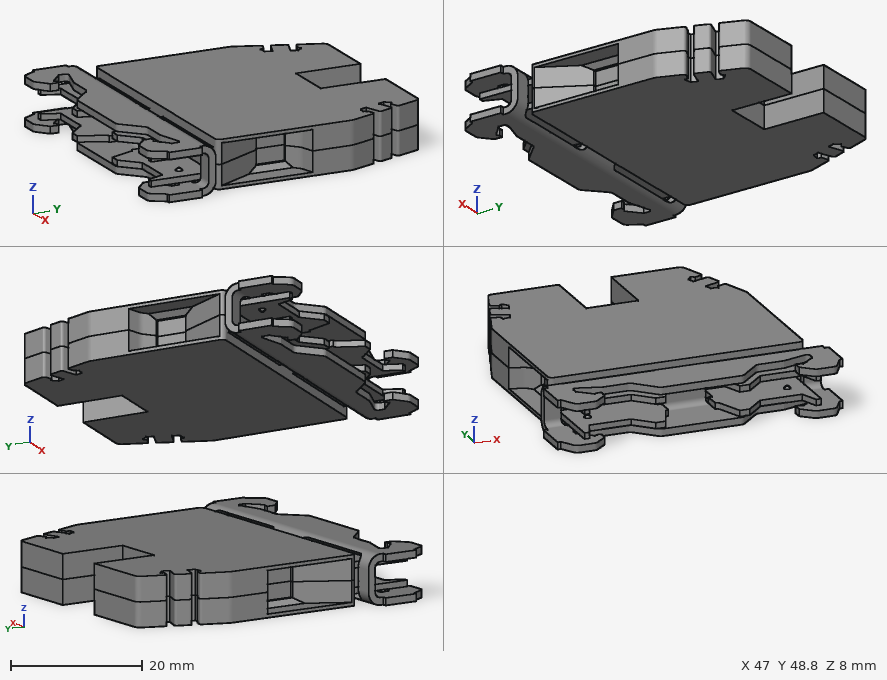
import cadquery as cq
import math

TOTAL_THICKNESS = 8.0
HALF_THICKNESS = TOTAL_THICKNESS / 2

HOUSING_HALF_WIDTH = 21.0
HOUSING_TOP_Y = 37.0
HOUSING_BOTTOM_Y = 0.1
BOTTOM_CORNER_RADIUS = 0.75
SHOULDER_Y = 23.2
SHOULDER_TILT = 20.0
SHOULDER_RADIUS = 2.0
TOP_CORNER_RADIUS = 1.0
TOP_NOTCH_WIDTH = 8.6
TOP_NOTCH_DEPTH = 11.0

GROOVE_WIDTH = 1.2
GROOVE_DEPTH = 3.0
GROOVE_PAIR_CENTRE = 7.42
GROOVE_SPACING = 3.95
GROOVE_MOUTH_RADIUS = 0.4
UNDERCUT_START = 1.55
UNDERCUT_PEAK = 1.9
UNDERCUT_HEIGHT = 0.6

ENTRY_HALF_HEIGHT = 3.4
ENTRY_BOTTOM_Y = 0.9
ENTRY_TOP_Y = 16.4
ENTRY_BEND = (-18.5, 15.65)
ENTRY_BEND_RADIUS = 2.0
WIRE_HOLE_SIZE = 5.0
WIRE_HOLE_BOTTOM_Y = 8.9
WIRE_HOLE_X = -16.65
WIRE_HOLE_DEPTH = 0.5

FOOT_SHEET = 1.2
FOOT_WEB_Y = -0.95
FOOT_BEND_RADIUS = 2.2
FOOT_WEB_HALF_WIDTH = 22.8
FOOT_FLANGE_HALF_WIDTH = 23.5
FOOT_FLANGE_TOP_Y = -3.6
FOOT_STEP_Y = -9.25
FOOT_END_Y = -11.77
FOOT_TONGUE_Y = -10.0
FOOT_CORNER_RADIUS = 1.0
FOOT_EYE_RADIUS = 0.5
SLOT_INNER_X = 3.8
SLOT_OUTER_X = 20.0
SLOT_FLARE_HALF_HEIGHT = 4.2
SLOT_CORNER_RADIUS = 1.0

BOSS_RADIUS = 2.0
BOSS_TOP_Y = 1.0
BOSS_FILLET = 0.5
BOSS_REACH = BOSS_RADIUS + BOSS_FILLET

SPRING_SHEET = 1.0
SPRING_INNER_Z = 1.5
SPRING_TOP_Y = 2.5
SPRING_END_Y = -10.3
SPRING_OUTER_X = 19.5
SPRING_BRIDGE_Y = -0.5
SPRING_LEG_INNER_X = 4.5
SPRING_HOOK_X = 3.86
SPRING_HOOK_BOTTOM_Y = -5.9
SPRING_HOOK_LEDGE = 0.49
SPRING_HOOK_RADIUS = 0.6
SPRING_LEG_RADIUS = 0.4
SPRING_ARCH_Y = -7.44
BOSS_NOTCH_WIDTH = 4.6
BOSS_NOTCH_TOP_Y = 1.5
DIMPLE_RADIUS = 0.55
DIMPLE_TIP_RADIUS = 0.2
DIMPLE_HEIGHT = 0.35
DIMPLE_X = 16.45
DIMPLE_Y = -4.1


def mirrored(points):
    """Close a left-hand outline with its mirror image about X = 0."""
    return points + [(-x, y) for x, y in reversed(points)]


def slab(points, bottom, top):
    """Extrude an outline of (X, Y) points between two Z levels."""
    return cq.Workplane("XY").workplane(offset=bottom).polyline(points).close().extrude(top - bottom)


def block(x0, x1, y0, y1, z0, z1):
    return cq.Workplane("XY").box(x1 - x0, y1 - y0, z1 - z0, centered=False).translate((x0, y0, z0))


def round_edges(body, corners, radius):
    """Round the edges parallel to Z at the given (X, Y) corners and their mirror images."""
    reach = 0.02
    for corner_x, corner_y in corners:
        for x in (corner_x, -corner_x):
            near = cq.selectors.BoxSelector(
                (x - reach, corner_y - reach, -HALF_THICKNESS),
                (x + reach, corner_y + reach, HALF_THICKNESS),
            )
            body = body.edges("|Z").edges(near).fillet(radius)
    return body



def shoulder_point(along, inward):
    """Point on the left shoulder, from distances along the slope and square into it."""
    tilt = math.radians(SHOULDER_TILT)
    x = -HOUSING_HALF_WIDTH + along * math.sin(tilt) + inward * math.cos(tilt)
    y = SHOULDER_Y + along * math.cos(tilt) - inward * math.sin(tilt)
    return (x, y)


def groove_points(direction):
    """Groove outline from its plain mouth corner to its undercut one; direction +1 is up the slope."""
    centre = GROOVE_PAIR_CENTRE + direction * GROOVE_SPACING / 2
    plain = centre - direction * GROOVE_WIDTH / 2
    undercut = centre + direction * GROOVE_WIDTH / 2
    return [
        shoulder_point(plain, 0),
        shoulder_point(plain, GROOVE_DEPTH),
        shoulder_point(undercut, GROOVE_DEPTH),
        shoulder_point(undercut + direction * UNDERCUT_HEIGHT, UNDERCUT_PEAK),
        shoulder_point(undercut, UNDERCUT_START),
        shoulder_point(undercut, 0),
    ]


def housing_blank():
    notch_x = -TOP_NOTCH_WIDTH / 2
    notch_y = HOUSING_TOP_Y - TOP_NOTCH_DEPTH
    slope_run = (HOUSING_TOP_Y - SHOULDER_Y) * math.tan(math.radians(SHOULDER_TILT))
    bottom_corner = (-HOUSING_HALF_WIDTH, HOUSING_BOTTOM_Y)
    shoulder = (-HOUSING_HALF_WIDTH, SHOULDER_Y)
    top_corner = (-HOUSING_HALF_WIDTH + slope_run, HOUSING_TOP_Y)
    lower_groove = groove_points(-1)[::-1]
    upper_groove = groove_points(1)
    outline = [bottom_corner, shoulder, *lower_groove, *upper_groove]
    outline += [top_corner, (notch_x, HOUSING_TOP_Y), (notch_x, notch_y)]
    blank = slab(mirrored(outline), -HALF_THICKNESS, HALF_THICKNESS)
    mouths = [lower_groove[0], lower_groove[-1], upper_groove[0], upper_groove[-1]]
    blank = round_edges(blank, mouths, GROOVE_MOUTH_RADIUS)
    blank = round_edges(blank, [bottom_corner], BOTTOM_CORNER_RADIUS)
    blank = round_edges(blank, [shoulder], SHOULDER_RADIUS)
    return round_edges(blank, [top_corner], TOP_CORNER_RADIUS)


def wire_entry():
    """Cutter for the left wire entry."""
    hole_half = WIRE_HOLE_SIZE / 2
    hole_top_y = WIRE_HOLE_BOTTOM_Y + WIRE_HOLE_SIZE
    taper = ENTRY_HALF_HEIGHT - hole_half
    outline = [
        (-HOUSING_HALF_WIDTH, ENTRY_BOTTOM_Y),
        (WIRE_HOLE_X, WIRE_HOLE_BOTTOM_Y),
        (WIRE_HOLE_X, hole_top_y),
        ENTRY_BEND,
        (-HOUSING_HALF_WIDTH, ENTRY_TOP_Y),
    ]
    flare = slab(outline, -ENTRY_HALF_HEIGHT, ENTRY_HALF_HEIGHT)
    bend = cq.selectors.NearestToPointSelector((*ENTRY_BEND, 0))
    flare = flare.edges("|Z").edges(bend).fillet(ENTRY_BEND_RADIUS)
    profile = [
        (-HOUSING_HALF_WIDTH, ENTRY_HALF_HEIGHT),
        (WIRE_HOLE_X - taper, ENTRY_HALF_HEIGHT),
        (WIRE_HOLE_X, hole_half),
        (WIRE_HOLE_X, -hole_half),
        (WIRE_HOLE_X - taper, -ENTRY_HALF_HEIGHT),
        (-HOUSING_HALF_WIDTH, -ENTRY_HALF_HEIGHT),
    ]
    funnel = cq.Workplane("XZ").polyline(profile).close().extrude(-HOUSING_TOP_Y)
    hole_end = WIRE_HOLE_X + WIRE_HOLE_DEPTH
    hole = block(WIRE_HOLE_X, hole_end, WIRE_HOLE_BOTTOM_Y, hole_top_y, -hole_half, hole_half)
    return flare.intersect(funnel).union(hole)


def housing_half(side, inserts):
    """One housing half; side is +1 above Z = 0 and -1 below it."""
    low, high = sorted((0, side * HALF_THICKNESS))
    half_space = block(-HOUSING_HALF_WIDTH, HOUSING_HALF_WIDTH, HOUSING_BOTTOM_Y, HOUSING_TOP_Y, low, high)
    half = housing_blank().intersect(half_space)
    entry = wire_entry()
    half = half.cut(entry).cut(entry.mirror("YZ"))
    for insert in inserts:
        half = half.cut(insert)
    return half



def foot_outline():
    """Left half of a flange, from the web down round the rail hook to the middle tongue."""
    toe_outer = (-21.45, FOOT_END_Y)
    toe_inner = (-18.1, FOOT_END_Y)
    eye_tip = (-19.5, -5.2)
    arch_corner = (-10.4, -6.5)
    tongue_corner = (-6.83, FOOT_TONGUE_Y)
    outline = [
        (-FOOT_WEB_HALF_WIDTH, FOOT_WEB_Y),
        (-FOOT_WEB_HALF_WIDTH, FOOT_FLANGE_TOP_Y),
        (-FOOT_FLANGE_HALF_WIDTH, FOOT_FLANGE_TOP_Y),
        (-FOOT_FLANGE_HALF_WIDTH, FOOT_STEP_Y),
        (-22.95, FOOT_STEP_Y),
        toe_outer,
        toe_inner,
        (-16.0, -9.95),
        (-16.0, -8.5),
        (-16.65, -8.5),
        (-17.2, -8.8),
        (-19.5, -6.8),
        eye_tip,
        (-14.95, -6.5),
        arch_corner,
        tongue_corner,
    ]
    return outline, [toe_outer, toe_inner, arch_corner, tongue_corner], [eye_tip]


def foot_channel():
    """U section along X, wide enough for the flanges."""
    inner_half = HALF_THICKNESS - FOOT_SHEET
    left = -FOOT_FLANGE_HALF_WIDTH
    outer = block(left, -left, FOOT_END_Y, FOOT_WEB_Y, -HALF_THICKNESS, HALF_THICKNESS)
    outer = outer.edges("|X and >Y").fillet(FOOT_BEND_RADIUS)
    inner = block(left, -left, FOOT_END_Y, FOOT_WEB_Y - FOOT_SHEET, -inner_half, inner_half)
    inner = inner.edges("|X and >Y").fillet(FOOT_BEND_RADIUS - FOOT_SHEET)
    return outer.cut(inner)


def foot_slot(side):
    """Cutter for the slot that lets a pair of spring legs through the web.

    The slot runs part of the way round both bends, and its ends flare outwards.
    """
    bend_axis_y = FOOT_WEB_Y - FOOT_BEND_RADIUS
    narrow_half = HALF_THICKNESS - FOOT_SHEET
    profile = [
        (bend_axis_y, -narrow_half),
        (bend_axis_y, narrow_half),
        (FOOT_WEB_Y, SLOT_FLARE_HALF_HEIGHT),
        (FOOT_WEB_Y, -SLOT_FLARE_HALF_HEIGHT),
    ]
    slot = cq.Workplane("YZ", origin=(SLOT_INNER_X, 0, 0)).polyline(profile).close()
    slot = slot.extrude(SLOT_OUTER_X - SLOT_INNER_X)
    end_faces = slot.faces("not (|X or |Y)")
    slot = end_faces.edges("not (|X)").fillet(SLOT_CORNER_RADIUS)
    return slot if side > 0 else slot.mirror("YZ")


def rail_foot():
    outline, corners, eyes = foot_outline()
    flange = slab(mirrored(outline), -HALF_THICKNESS, HALF_THICKNESS)
    flange = round_edges(flange, corners, FOOT_CORNER_RADIUS)
    flange = round_edges(flange, eyes, FOOT_EYE_RADIUS)
    foot = foot_channel().intersect(flange)
    for side in (-1, 1):
        foot = foot.cut(foot_slot(side))
    boss_start = FOOT_WEB_Y - FOOT_SHEET / 2
    boss = cq.Workplane("XZ", origin=(0, boss_start, 0)).circle(BOSS_RADIUS).extrude(boss_start - BOSS_TOP_Y)
    foot = foot.union(boss)
    root = cq.selectors.BoxSelector(
        (-BOSS_REACH, FOOT_WEB_Y - BOSS_FILLET, -BOSS_REACH),
        (BOSS_REACH, FOOT_WEB_Y + BOSS_FILLET / 2, BOSS_REACH),
    )
    return foot.edges("not |Y").edges(root).fillet(BOSS_FILLET)



def spring_sheet(side):
    """Flat sheet with two legs, notched in the middle to clear the boss."""
    notch_x = -BOSS_NOTCH_WIDTH / 2
    hook_top_y = FOOT_WEB_Y - FOOT_BEND_RADIUS
    leg_corner = (-SPRING_LEG_INNER_X, SPRING_BRIDGE_Y)
    hook_corner = (-SPRING_HOOK_X - SPRING_HOOK_LEDGE, SPRING_HOOK_BOTTOM_Y)
    leg_edge = [
        (-SPRING_OUTER_X, SPRING_TOP_Y),
        (-SPRING_OUTER_X, SPRING_END_Y),
        (-18.65, SPRING_END_Y),
        (-17.55, SPRING_ARCH_Y),
        (-10.65, SPRING_ARCH_Y),
        (-7.75, SPRING_END_Y),
        (-6.1, SPRING_END_Y),
        hook_corner,
        (-SPRING_HOOK_X, SPRING_HOOK_BOTTOM_Y),
        (-SPRING_HOOK_X, hook_top_y),
        (-SPRING_LEG_INNER_X, hook_top_y),
    ]
    bridge_edge = [
        leg_corner,
        (notch_x, SPRING_BRIDGE_Y),
        (notch_x, BOSS_NOTCH_TOP_Y),
    ]
    outline = leg_edge + bridge_edge
    sheet = slab(mirrored(outline), SPRING_INNER_Z, SPRING_INNER_Z + SPRING_SHEET)
    sheet = round_edges(sheet, [leg_corner], SPRING_LEG_RADIUS)
    sheet = round_edges(sheet, [hook_corner], SPRING_HOOK_RADIUS)
    for x in (-DIMPLE_X, DIMPLE_X):
        dimple = cq.Solid.makeCone(
            DIMPLE_RADIUS,
            DIMPLE_TIP_RADIUS,
            DIMPLE_HEIGHT,
            pnt=cq.Vector(x, DIMPLE_Y, SPRING_INNER_Z),
            dir=cq.Vector(0, 0, -1),
        )
        sheet = sheet.union(cq.Workplane(dimple))
    return sheet if side > 0 else sheet.mirror("XY")


foot = rail_foot()
springs = [spring_sheet(side) for side in (-1, 1)]
housings = [housing_half(side, [foot, *springs]) for side in (-1, 1)]

result = cq.Compound.makeCompound([
    foot.val(),
    *[spring.val() for spring in springs],
    *[housing.val() for housing in housings],
])